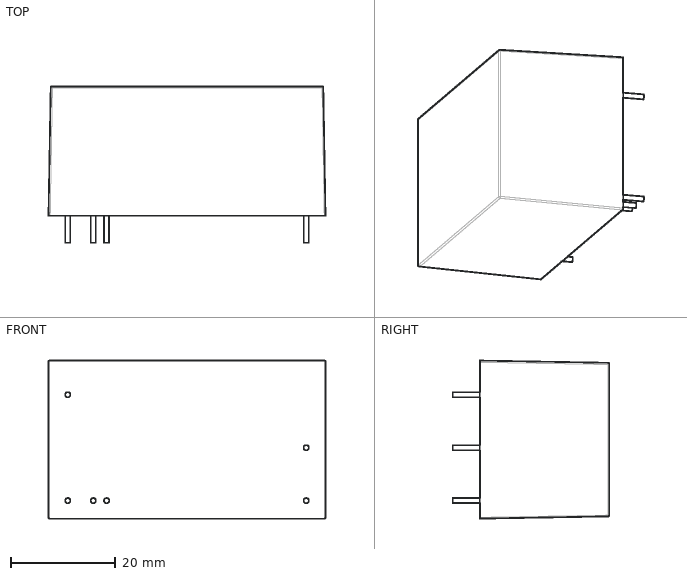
import cadquery as cq

case_length = 53.1
case_height = 30.3
case_depth = 24.8
draft_angle = 1.0
edge_radius = 0.305

pin_diameter = 1.0
pin_length = 5.2

pin_column_x = 22.85
pin_row_pitch = 10.15
bottom_row_z = -11.7
middle_row_z = bottom_row_z + pin_row_pitch
top_row_z = middle_row_z + pin_row_pitch
inner_pin_offset = 4.9
inner_pin_pitch = 2.55

first_inner_x = -pin_column_x + inner_pin_offset
second_inner_x = first_inner_x + inner_pin_pitch

pin_positions = [
    (-pin_column_x, top_row_z),
    (-pin_column_x, bottom_row_z),
    (first_inner_x, bottom_row_z),
    (second_inner_x, bottom_row_z),
    (pin_column_x, middle_row_z),
    (pin_column_x, bottom_row_z),
]


def make_case():
    """Drafted block with rounded edges everywhere except around the pin face."""
    block = (
        cq.Workplane("XZ")
        .rect(case_length, case_height)
        .extrude(-case_depth, taper=draft_angle)
    )
    return block.edges("not <Y").fillet(edge_radius)


def make_pins():
    """Round pins standing out from the pin face towards -Y."""
    return (
        cq.Workplane("XZ")
        .pushPoints(pin_positions)
        .circle(pin_diameter / 2)
        .extrude(pin_length)
    )


result = make_case().union(make_pins())